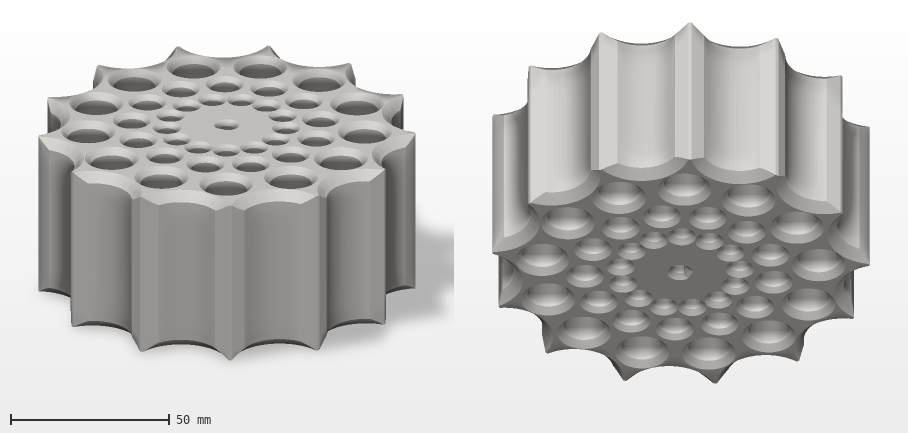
import cadquery as cq
import math

height = 54.0
lobe_count = 13
pitch_angle = 360 / lobe_count
first_tip_angle = -90
first_scallop_angle = first_tip_angle + pitch_angle / 2

tip_radius = 60.0
tip_half_width = 0.54

scallop_radius = 12.5
scallop_bottom_distance = 52.7
scallop_half_width = 9.2
scallop_chamfer = 3.0
scallop_center_distance = scallop_bottom_distance + scallop_radius

ring_twist = -1.2
outer_ring_radius = 44.0
outer_hole_diameter = 13.0
outer_hole_chamfer = 2.0
middle_ring_radius = 30.0
middle_hole_diameter = 9.0
inner_ring_radius = 19.0
inner_hole_diameter = 6.0
small_chamfer = 1.5

bore_diameter = 5.0
bore_flat_distance = 2.0


def polar(radius, angle):
    return (radius * math.cos(math.radians(angle)), radius * math.sin(math.radians(angle)))


def offset_polar(radial_distance, side_offset, angle):
    """Point at a distance along a ray from the axis, then shifted square to that ray."""
    along = polar(radial_distance, angle)
    aside = polar(side_offset, angle + 90)
    return (along[0] + aside[0], along[1] + aside[1])


def scalloped_body():
    """Prism whose outline repeats: narrow tip, flat flank, arc, flat flank."""
    arc_rise = math.sqrt(scallop_radius**2 - scallop_half_width**2)
    arc_end_distance = scallop_center_distance - arc_rise
    outline = cq.Workplane("XY").moveTo(*offset_polar(tip_radius, -tip_half_width, first_tip_angle))
    for lobe in range(lobe_count):
        tip_angle = first_tip_angle + lobe * pitch_angle
        scallop_angle = first_scallop_angle + lobe * pitch_angle
        arc_start = offset_polar(arc_end_distance, -scallop_half_width, scallop_angle)
        arc_middle = polar(scallop_bottom_distance, scallop_angle)
        arc_end = offset_polar(arc_end_distance, scallop_half_width, scallop_angle)
        outline = outline.lineTo(*offset_polar(tip_radius, tip_half_width, tip_angle))
        outline = outline.lineTo(*arc_start)
        outline = outline.threePointArc(arc_middle, arc_end)
        if lobe < lobe_count - 1:
            next_tip_angle = tip_angle + pitch_angle
            outline = outline.lineTo(*offset_polar(tip_radius, -tip_half_width, next_tip_angle))
    return outline.close().extrude(height)


def round_cutter(radius, chamfer):
    """Full-height round cutter that flares at 45 degrees towards both faces."""
    mouth_radius = radius + chamfer
    half_profile = [
        (0, 0),
        (mouth_radius, 0),
        (radius, chamfer),
        (radius, height - chamfer),
        (mouth_radius, height),
        (0, height),
    ]
    return cq.Workplane("XZ").polyline(half_profile).close().revolve(360, (0, 0), (0, 1))


def bore_cutter():
    """Round cutter trimmed by a flat that flares with the same chamfer."""
    mouth_flat_distance = bore_flat_distance + small_chamfer
    trim_reach = bore_diameter
    trim_profile = [
        (-mouth_flat_distance, 0),
        (-bore_flat_distance, small_chamfer),
        (-bore_flat_distance, height - small_chamfer),
        (-mouth_flat_distance, height),
        (trim_reach, height),
        (trim_reach, 0),
    ]
    trim = cq.Workplane("YZ").polyline(trim_profile).close().extrude(trim_reach, both=True)
    return round_cutter(bore_diameter / 2, small_chamfer).intersect(trim)


def cut_ring(body, cutter, ring_radius, first_angle):
    """Cut one copy of the cutter per lobe, evenly spaced on a circle."""
    for index in range(lobe_count):
        x, y = polar(ring_radius, first_angle + index * pitch_angle)
        body = body.cut(cutter.translate((x, y, 0)))
    return body


body = scalloped_body()

scallop_cutter = round_cutter(scallop_radius, scallop_chamfer)
body = cut_ring(body, scallop_cutter, scallop_center_distance, first_scallop_angle)

outer_cutter = round_cutter(outer_hole_diameter / 2, outer_hole_chamfer)
body = cut_ring(body, outer_cutter, outer_ring_radius, first_tip_angle + ring_twist)

middle_cutter = round_cutter(middle_hole_diameter / 2, small_chamfer)
body = cut_ring(body, middle_cutter, middle_ring_radius, first_scallop_angle)

inner_cutter = round_cutter(inner_hole_diameter / 2, small_chamfer)
body = cut_ring(body, inner_cutter, inner_ring_radius, first_tip_angle + ring_twist)

result = body.cut(bore_cutter())